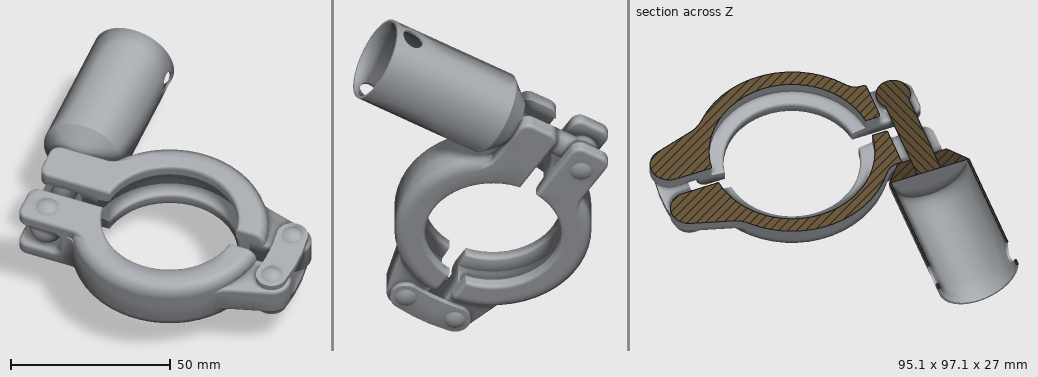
import cadquery as cq
import math


RING_R = 31.0
BORE_R = 21.5
CLAMP_HALF_H = 8.75
RING_ROUND = 3.7
EDGE_ROUND = 1.1
GAP_HALF = 2.94
PARTING_HALF_WIDTH = math.sqrt(RING_R**2 - GAP_HALF**2)

GROOVE_R = 26.0
GROOVE_MOUTH_HALF_H = 4.7
GROOVE_FLOOR_HALF_H = 3.9
GROOVE_LIP_ROUND = 0.8

LUG_END_X = -45.45
LUG_OUTER_Y = 16.12
LUG_CORNER_R = 3.4
LUG_BLEND_X = -29.4
LUG_BLEND_R = 5.4
LUG_RAMP_BEND_X = -27.3
LUG_RAMP_START = (-24.2, 17.1)
LUG_RAMP_END = (-16.5, 22.5)
LUG_SLOT_HALF_H = 4.3
LUG_SLOT_END_X = -30.9
LUG_SLOT_CORNER_R = 2.2
LIP_LENGTH = 2.8
LIP_HALF_H = 3.85
LIP_EDGE_ROUND = 0.6

HINGE_X = 37.87
HINGE_Y = 9.03
EAR_R = HINGE_Y - GAP_HALF
EAR_HALF_H = 4.7
EAR_BLEND_R = 10.0
EAR_TAPER = 16.4
LINK_END_R = 4.92
LINK_BOW = 0.73
LINK_THICKNESS = 1.9
LINK_TOP_Z = EAR_HALF_H + LINK_THICKNESS
RIVET_HEAD_R = 3.3
RIVET_HEAD_H = 1.1

BOLT_X = -37.6
BOLT_PIVOT_Y = -(GAP_HALF + LUG_OUTER_Y) / 2
BOLT_R = 4.0
BALL_R = 5.5
PIN_R = 3.0
PIN_HEAD_R = 3.45
PIN_HEAD_H = 1.1

NUT_R = 13.5
NUT_SEAT_R = LUG_BLEND_X - BOLT_X
NUT_SEAT_Y = LUG_OUTER_Y
NUT_CONE_END_Y = 22.4
NUT_END_Y = 66.09
NUT_BORE_R = 12.75
CROSS_HOLE_R = 3.6
CROSS_HOLE_FROM_END = 5.7


def slab(outline, half_height):
    """Extrude a closed XY outline equally to both sides of Z = 0."""
    return outline.extrude(half_height, both=True)


def dome(x, y, base_z, radius, height):
    """Spherical-cap rivet head standing on base_z."""
    sphere_r = (radius**2 + height**2) / (2 * height)
    cap_angle = math.asin(radius / sphere_r) / 2
    cap = (
        cq.Workplane("XZ")
        .lineTo(radius, 0)
        .threePointArc(
            (sphere_r * math.sin(cap_angle), height - sphere_r * (1 - math.cos(cap_angle))),
            (0, height),
        )
        .close()
        .revolve(360, (0, 0), (0, 1))
    )
    return cap.translate((x, y, base_z))


def ring_half():
    """Half disc of the ring with large outer rim roundings and a rounded parting edge."""
    outline = (
        cq.Workplane()
        .moveTo(-PARTING_HALF_WIDTH, GAP_HALF)
        .threePointArc((0, RING_R), (PARTING_HALF_WIDTH, GAP_HALF))
        .close()
    )
    disc = slab(outline, CLAMP_HALF_H)
    disc = disc.faces("|Z").edges("%CIRCLE").fillet(RING_ROUND)
    return disc.faces("<Y").edges("|X").fillet(EDGE_ROUND)


def lug_plate():
    """Full-height lug whose outer side curves up onto the flat of the ring."""
    outline = (
        cq.Workplane()
        .moveTo(0, BORE_R)
        .lineTo(0, GAP_HALF)
        .lineTo(LUG_END_X, GAP_HALF)
        .lineTo(LUG_END_X, LUG_OUTER_Y)
        .lineTo(LUG_RAMP_BEND_X, LUG_OUTER_Y)
        .tangentArcPoint(LUG_RAMP_START, relative=False)
        .lineTo(*LUG_RAMP_END)
        .close()
    )
    plate = slab(outline, CLAMP_HALF_H).edges("|Z and <X").fillet(LUG_CORNER_R)
    return plate.faces("|Z").edges().fillet(EDGE_ROUND)


def lug_root():
    """Mid-height lug root, blended tangentially into the outer wall of the ring."""
    blend_center_y = LUG_OUTER_Y + LUG_BLEND_R
    to_ring = RING_R / (RING_R + LUG_BLEND_R)
    ring_tangent = (LUG_BLEND_X * to_ring, blend_center_y * to_ring)
    outline = (
        cq.Workplane()
        .moveTo(0, GAP_HALF)
        .lineTo(LUG_BLEND_X - LUG_BLEND_R, GAP_HALF)
        .lineTo(LUG_BLEND_X - LUG_BLEND_R, LUG_OUTER_Y)
        .lineTo(LUG_BLEND_X, LUG_OUTER_Y)
        .tangentArcPoint(ring_tangent, relative=False)
        .close()
    )
    return slab(outline, CLAMP_HALF_H - RING_ROUND)


def ear():
    """Tapered hinge ear, blended tangentially into the outer wall of the ring."""
    taper = math.radians(EAR_TAPER)
    along = cq.Vector(math.cos(taper), -math.sin(taper))
    outward = cq.Vector(math.sin(taper), math.cos(taper))
    pivot = cq.Vector(HINGE_X, HINGE_Y)
    end_tangent = pivot + outward * EAR_R
    center_offset = end_tangent.dot(outward) + EAR_BLEND_R
    center_reach = math.sqrt((RING_R + EAR_BLEND_R) ** 2 - center_offset**2)
    blend_center = outward * center_offset + along * center_reach
    side_tangent = blend_center - outward * EAR_BLEND_R
    ring_tangent = blend_center * (RING_R / (RING_R + EAR_BLEND_R))
    to_mid = (side_tangent + ring_tangent) * 0.5 - blend_center
    blend_mid = blend_center + to_mid.normalized() * EAR_BLEND_R
    outline = (
        cq.Workplane()
        .moveTo(BORE_R, GAP_HALF)
        .lineTo(HINGE_X, GAP_HALF)
        .threePointArc((HINGE_X + EAR_R, HINGE_Y), end_tangent.toTuple()[:2])
        .lineTo(side_tangent.x, side_tangent.y)
        .threePointArc((blend_mid.x, blend_mid.y), (ring_tangent.x, ring_tangent.y))
        .close()
    )
    body = slab(outline, EAR_HALF_H)
    outside_ring = cq.selectors.BoxSelector(
        (ring_tangent.x, 0, -CLAMP_HALF_H), (2 * HINGE_X, RING_R, CLAMP_HALF_H)
    )
    return body.faces("|Z").edges(outside_ring).fillet(EDGE_ROUND)


def bore():
    """Bore with the V-shaped flange groove and rounded lip edges."""
    flare_mid = EDGE_ROUND * (1 - math.sqrt(0.5))
    upper = (
        cq.Workplane("XZ")
        .lineTo(GROOVE_R, 0)
        .lineTo(GROOVE_R, GROOVE_FLOOR_HALF_H)
        .lineTo(BORE_R, GROOVE_MOUTH_HALF_H)
        .lineTo(BORE_R, CLAMP_HALF_H - EDGE_ROUND)
        .threePointArc(
            (BORE_R + flare_mid, CLAMP_HALF_H - flare_mid),
            (BORE_R + EDGE_ROUND, CLAMP_HALF_H),
        )
        .lineTo(0, CLAMP_HALF_H)
        .close()
        .revolve(360, (0, 0), (0, 1))
    )
    mouth_edge = cq.selectors.NearestToPointSelector((0, 0, GROOVE_MOUTH_HALF_H))
    upper = upper.edges("%CIRCLE").edges(mouth_edge).fillet(GROOVE_LIP_ROUND)
    return upper.union(upper.mirror("XY"))


def lug_slot(start_x):
    """Slot between the prongs of a lug, running in X from start_x and right through in Y."""
    length = LUG_SLOT_END_X - start_x
    slot = cq.Workplane().box(length, 2 * RING_R, 2 * LUG_SLOT_HALF_H)
    slot = slot.translate((start_x + length / 2, RING_R, 0))
    return slot.edges("|Y and >X").fillet(LUG_SLOT_CORNER_R)


def half_blank():
    """Clamp half on the +Y side of the parting gap, before its slot and bore are cut."""
    return ring_half().union(lug_root()).union(ear()).union(lug_plate())


def pivot_half():
    """Half that holds the bolt pin, with open, rounded prongs; it lies on the -Y side."""
    half = half_blank().cut(lug_slot(LUG_END_X))
    prong_edge = cq.selectors.NearestToPointSelector((LUG_END_X, HINGE_Y, LUG_SLOT_HALF_H))
    half = half.edges(prong_edge).fillet(EDGE_ROUND)
    return half.cut(bore()).mirror("XZ")


def latch_half():
    """Half that the nut presses on, with lips at the open end of its slot."""
    mouth_length = LUG_SLOT_END_X - LUG_SLOT_CORNER_R - LUG_END_X
    mouth = cq.Workplane().box(mouth_length, 2 * RING_R, 2 * LIP_HALF_H)
    mouth = mouth.translate((LUG_END_X + mouth_length / 2, RING_R, 0))
    half = half_blank().cut(mouth).cut(lug_slot(LUG_END_X + LIP_LENGTH))
    slot_edge = cq.selectors.NearestToPointSelector((BOLT_X, GAP_HALF, LUG_SLOT_HALF_H))
    half = half.edges("|X").edges(slot_edge).fillet(LIP_EDGE_ROUND)
    return half.cut(bore())


def link():
    """Hinge link on top of the ears, bowed outward between its round ends."""
    inner_x = HINGE_X - LINK_END_R
    outer_x = HINGE_X + LINK_END_R
    tip_y = HINGE_Y + LINK_END_R
    plate = (
        cq.Workplane()
        .moveTo(outer_x, -HINGE_Y)
        .threePointArc((outer_x + LINK_BOW, 0), (outer_x, HINGE_Y))
        .threePointArc((HINGE_X, tip_y), (inner_x, HINGE_Y))
        .threePointArc((inner_x + LINK_BOW, 0), (inner_x, -HINGE_Y))
        .threePointArc((HINGE_X, -tip_y), (outer_x, -HINGE_Y))
        .close()
        .extrude(LINK_THICKNESS)
    )
    return plate.translate((0, 0, EAR_HALF_H))


def hinge_plate():
    """Link with its two rivet heads."""
    plate = link()
    for rivet_y in (-HINGE_Y, HINGE_Y):
        plate = plate.union(dome(HINGE_X, rivet_y, LINK_TOP_Z, RIVET_HEAD_R, RIVET_HEAD_H))
    return plate


def clamp_body():
    """Both halves joined by the links, with a hole for the bolt pin."""
    plate = hinge_plate()
    clamp = latch_half().union(pivot_half()).union(plate).union(plate.mirror("XY"))
    pin_hole = slab(cq.Workplane().center(BOLT_X, BOLT_PIVOT_Y).circle(PIN_R), CLAMP_HALF_H)
    return clamp.cut(pin_hole)


def swing_bolt():
    """Bolt with a ball eye, flattened between the prongs, on its riveted pin."""
    ball = cq.Workplane().sphere(BALL_R)
    ball = ball.intersect(cq.Workplane().box(2 * BALL_R, 2 * BALL_R, 2 * LUG_SLOT_HALF_H))
    ball = ball.translate((BOLT_X, BOLT_PIVOT_Y, 0))
    shank = cq.Workplane("XZ").center(BOLT_X, 0).circle(BOLT_R).extrude(BOLT_PIVOT_Y - NUT_CONE_END_Y)
    shank = shank.translate((0, BOLT_PIVOT_Y, 0))
    pin = slab(cq.Workplane().center(BOLT_X, BOLT_PIVOT_Y).circle(PIN_R), CLAMP_HALF_H)
    head = dome(BOLT_X, BOLT_PIVOT_Y, CLAMP_HALF_H, PIN_HEAD_R, PIN_HEAD_H)
    return ball.union(shank).union(pin).union(head).union(head.mirror("XY"))


def sleeve_nut():
    """Long round nut with a conical seat end and a cross hole near its outer end."""
    nut = (
        cq.Workplane()
        .moveTo(BOLT_R, NUT_SEAT_Y)
        .lineTo(NUT_SEAT_R, NUT_SEAT_Y)
        .lineTo(NUT_R, NUT_CONE_END_Y)
        .lineTo(NUT_R, NUT_END_Y)
        .lineTo(NUT_BORE_R, NUT_END_Y)
        .lineTo(NUT_BORE_R, NUT_CONE_END_Y)
        .lineTo(BOLT_R, NUT_CONE_END_Y)
        .close()
        .revolve(360, (0, 0), (0, 1))
    )
    cross_hole = cq.Workplane("YZ").center(NUT_END_Y - CROSS_HOLE_FROM_END, 0)
    cross_hole = cross_hole.circle(CROSS_HOLE_R).extrude(NUT_R, both=True)
    return nut.cut(cross_hole).translate((BOLT_X, 0, 0))


clamp = clamp_body()
bolt = swing_bolt()
nut = sleeve_nut()
result = cq.Compound.makeCompound([clamp.val(), bolt.val(), nut.val()])